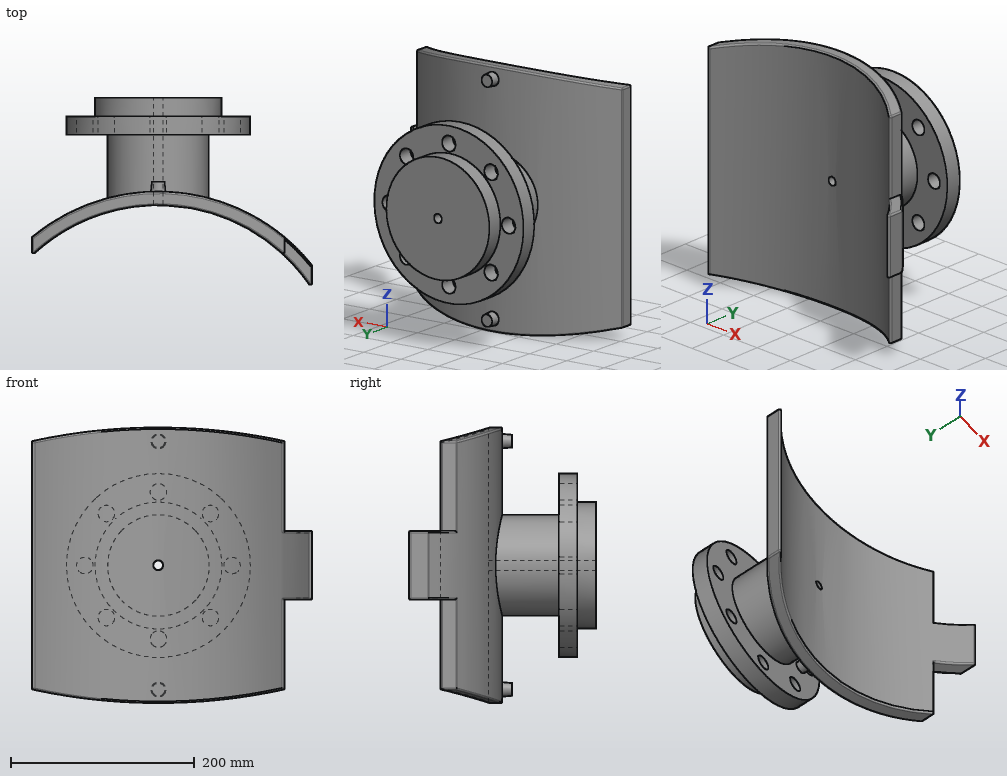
import cadquery as cq
import math

Y_DIRECTION = cq.Vector(0, 1, 0)

PLATE_WIDTH = 275.0
PLATE_HEIGHT = 300.0
PLATE_THICKNESS = 15.0
PLATE_OUTER_RADIUS = 214.5
PLATE_INNER_RADIUS = PLATE_OUTER_RADIUS - PLATE_THICKNESS
CROWN_DROP = 15.0
EDGE_RADIUS = 2.0

TAB_LENGTH = 30.0
TAB_HEIGHT = 75.0

NECK_DIAMETER = 110.4
FLANGE_DIAMETER = 200.0
FLANGE_THICKNESS = 20.0
SPIGOT_DIAMETER = 138.0
SPIGOT_LENGTH = 20.4
NECK_LENGTH = 61.6
CENTER_HOLE_DIAMETER = 10.4

BOLT_COUNT = 8
BOLT_HOLE_DIAMETER = 18.0
BOLT_CIRCLE_DIAMETER = 160.0

PIN_BASE_DIAMETER = 16.0
PIN_TIP_DIAMETER = 14.0
PIN_HEIGHT = 10.8
PIN_OFFSET = 135.0

HALF_WIDTH = PLATE_WIDTH / 2
HALF_HEIGHT = PLATE_HEIGHT / 2
SPIGOT_START = NECK_LENGTH + FLANGE_THICKNESS
BACK_END = SPIGOT_START + SPIGOT_LENGTH
PLATE_DEPTH = PLATE_OUTER_RADIUS
MID_WALL_RADIUS = PLATE_OUTER_RADIUS - PLATE_THICKNESS / 2
SELECTION_MARGIN = 1.0


def cylinder_along_y(diameter, start, end, x=0.0, z=0.0):
    """Round bar parallel to Y from Y = start to Y = end."""
    bar = cq.Solid.makeCylinder(diameter / 2, end - start, cq.Vector(x, start, z), Y_DIRECTION)
    return cq.Workplane(obj=bar)


def plate_outline():
    """Face outline in XZ with crowned top and bottom, plus the tab, extruded through -Y."""
    side_height = HALF_HEIGHT - CROWN_DROP
    outline = (
        cq.Workplane("XZ")
        .moveTo(-HALF_WIDTH, -side_height)
        .threePointArc((0, -HALF_HEIGHT), (HALF_WIDTH, -side_height))
        .lineTo(HALF_WIDTH, -TAB_HEIGHT / 2)
        .lineTo(HALF_WIDTH + TAB_LENGTH, -TAB_HEIGHT / 2)
        .lineTo(HALF_WIDTH + TAB_LENGTH, TAB_HEIGHT / 2)
        .lineTo(HALF_WIDTH, TAB_HEIGHT / 2)
        .lineTo(HALF_WIDTH, side_height)
        .threePointArc((0, HALF_HEIGHT), (-HALF_WIDTH, side_height))
        .close()
    )
    return outline.extrude(PLATE_DEPTH)


def curved_wall():
    """Full tube on a vertical axis whose outer face touches Y = 0."""
    return (
        cq.Workplane("XY", origin=(0, -PLATE_OUTER_RADIUS, -HALF_HEIGHT))
        .circle(PLATE_OUTER_RADIUS)
        .circle(PLATE_INNER_RADIUS)
        .extrude(PLATE_HEIGHT)
    )


def inside_tab_corners():
    """Selects the edges along Y where the tab meets the side of the plate."""
    half_tab = TAB_HEIGHT / 2
    near_joint = cq.selectors.BoxSelector(
        (HALF_WIDTH - SELECTION_MARGIN, -PLATE_DEPTH, -half_tab - SELECTION_MARGIN),
        (HALF_WIDTH + SELECTION_MARGIN, 0, half_tab + SELECTION_MARGIN),
    )
    along_y = cq.selectors.ParallelDirSelector(Y_DIRECTION)
    return cq.selectors.AndSelector(along_y, near_joint)


def make_plate():
    """Curved plate with its tab; every edge is rounded except the two inside corners of the tab."""
    plate = plate_outline().intersect(curved_wall())
    rounded = cq.selectors.InverseSelector(inside_tab_corners())
    return plate.edges(rounded).fillet(EDGE_RADIUS)


def make_neck():
    """Neck, flange and spigot, with the neck rooted halfway into the plate wall."""
    neck = cylinder_along_y(NECK_DIAMETER, -PLATE_DEPTH / 2, NECK_LENGTH)
    inside_of_wall = (
        cq.Workplane("XY", origin=(0, -PLATE_OUTER_RADIUS, -HALF_HEIGHT))
        .circle(MID_WALL_RADIUS)
        .extrude(PLATE_HEIGHT)
    )
    neck = neck.cut(inside_of_wall)
    flange = cylinder_along_y(FLANGE_DIAMETER, NECK_LENGTH, SPIGOT_START)
    spigot = cylinder_along_y(SPIGOT_DIAMETER, SPIGOT_START, BACK_END)
    return neck.union(flange).union(spigot)


def cut_bolt_holes(part):
    """Ring of through holes in the flange, the first on the X axis."""
    bolt_circle_radius = BOLT_CIRCLE_DIAMETER / 2
    for index in range(BOLT_COUNT):
        angle = 2 * math.pi * index / BOLT_COUNT
        x = bolt_circle_radius * math.cos(angle)
        z = bolt_circle_radius * math.sin(angle)
        part = part.cut(cylinder_along_y(BOLT_HOLE_DIAMETER, NECK_LENGTH, SPIGOT_START, x, z))
    return part


def make_pin(z):
    """Tapered pin; its straight root is buried in the plate wall."""
    root = cylinder_along_y(PIN_BASE_DIAMETER, -PLATE_THICKNESS / 2, 0, z=z)
    cone = cq.Solid.makeCone(
        PIN_BASE_DIAMETER / 2,
        PIN_TIP_DIAMETER / 2,
        PIN_HEIGHT,
        cq.Vector(0, 0, z),
        Y_DIRECTION,
    )
    return root.union(cq.Workplane(obj=cone))


result = make_plate().union(make_neck())
for pin_z in (-PIN_OFFSET, PIN_OFFSET):
    result = result.union(make_pin(pin_z))
result = cut_bolt_holes(result)
result = result.cut(cylinder_along_y(CENTER_HOLE_DIAMETER, -PLATE_DEPTH, BACK_END))